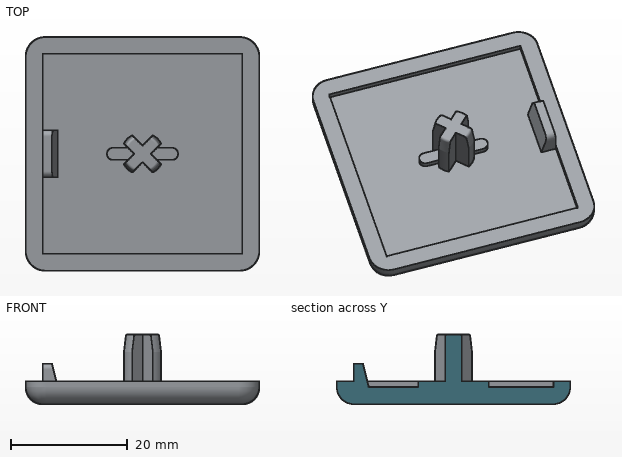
import cadquery as cq
import math

plate_side = 40
plate_height = 4
corner_radius = 3.4
bottom_fillet = 3.0

pocket_side = 34.15
pocket_depth = 1.0
pocket_edge = pocket_side / 2
floor_z = -pocket_depth

stem_top = 8
arm_angle = 45
stem_radius = 3.65
arm_width = 2
taper_start = 5.0
taper_angle = 9
tip_fillet = 0.5

rib_length = 12.15
rib_width = 2.1

tab_length = 8
tab_top = 3.0
tab_foot_depth = 2.6
tab_top_depth = 1.6
tab_corner_radius = 1.0


def make_plate():
    plate = (
        cq.Workplane("XY")
        .workplane(offset=-plate_height)
        .rect(plate_side, plate_side)
        .extrude(plate_height)
        .edges("|Z")
        .fillet(corner_radius)
        .faces("<Z")
        .edges()
        .fillet(bottom_fillet)
    )
    pocket = cq.Workplane("XY").rect(pocket_side, pocket_side).extrude(floor_z)
    return plate.cut(pocket)


def make_stem():
    """Trim a diagonal cross to a turned envelope with a tapered, rounded tip."""
    tip_radius = stem_radius - (stem_top - taper_start) * math.tan(math.radians(taper_angle))
    envelope = (
        cq.Workplane("XZ")
        .moveTo(0, floor_z)
        .lineTo(stem_radius, floor_z)
        .lineTo(stem_radius, taper_start)
        .lineTo(tip_radius, stem_top)
        .lineTo(0, stem_top)
        .close()
        .revolve(360, (0, 0, 0), (0, 1, 0))
        .faces(">Z")
        .edges()
        .fillet(tip_fillet)
    )
    arm_pair = (
        cq.Workplane("XY")
        .workplane(offset=floor_z)
        .rect(2 * stem_radius, arm_width)
        .extrude(stem_top - floor_z)
        .rotate((0, 0, 0), (0, 0, 1), arm_angle)
    )
    cross = arm_pair.union(arm_pair.rotate((0, 0, 0), (0, 0, 1), 90))
    return cross.intersect(envelope)


def make_rib():
    return cq.Workplane("XY").slot2D(rib_length, rib_width).extrude(floor_z)


def make_tab():
    """Wedge with a vertical back, a sloping front and two rounded top corners."""
    return (
        cq.Workplane("XZ")
        .moveTo(-pocket_edge, floor_z)
        .lineTo(-pocket_edge + tab_foot_depth, floor_z)
        .lineTo(-pocket_edge + tab_top_depth, tab_top)
        .lineTo(-pocket_edge, tab_top)
        .close()
        .extrude(tab_length / 2, both=True)
        .faces(">Z")
        .edges("|X")
        .fillet(tab_corner_radius)
    )


result = make_plate().union(make_stem()).union(make_rib()).union(make_tab())